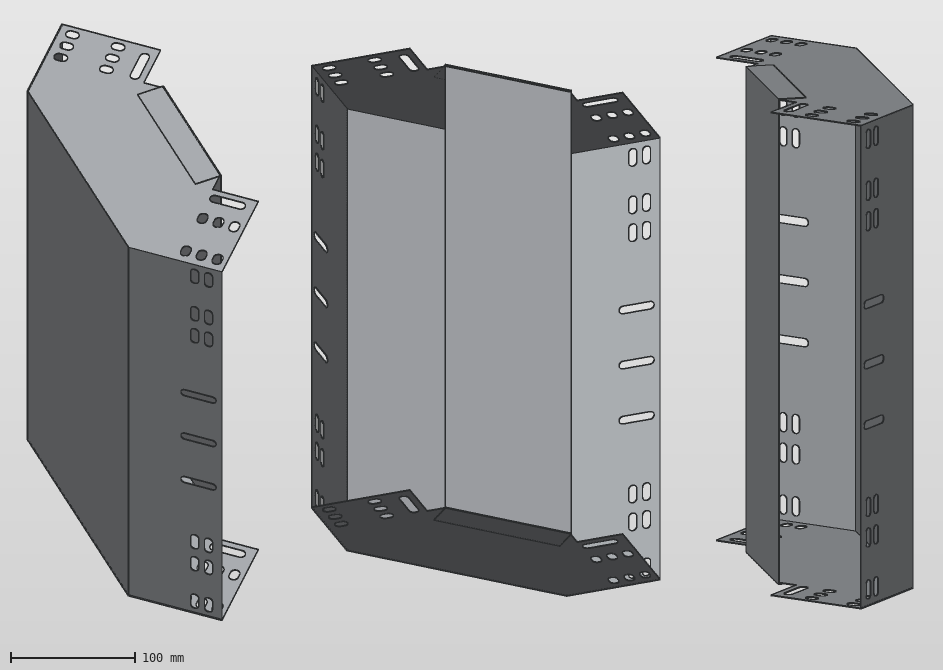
import cadquery as cq
import math

total_width = 308.01
total_depth = 116.98
height = 401.6
sheet = 0.8
wing_length = 80.5
bend_angle = 45.0
ear_end = 39.2
cover_width = 111.1
cover_flange = 23.0
cover_back_drop = 15.2

long_slot = 30.2
wing_slot_width = 6.9
tall_slot = 15.9
wing_slot_setbacks = (11.6, 23.5)
wing_slot_heights = (187.0, 143.9, 118.6)
wing_long_setback = 20.2
long_slot_pitch = 50.0

ear_slot_width = 7.8
short_slot = 11.2
ear_slot_rows = 3
ear_slot_first = 8.3
ear_slot_pitch = 13.6
ear_slot_offsets = (12.3, 51.5)
ear_long_setback = 22.9
ear_long_offset = 75.5

cosine = math.cos(math.radians(bend_angle))
sine = math.sin(math.radians(bend_angle))
half_width = total_width / 2
half_height = height / 2
front_half = half_width - wing_length * cosine
wing_end_y = wing_length * sine
ear_length = (total_depth - wing_end_y) / cosine
ear_tip_x = half_width - ear_length * sine
notch_x = ear_tip_x - ear_end * cosine
notch_y = total_depth - ear_end * sine
cover_back = total_depth - cover_back_drop
plate_back = cover_back - sheet
plate_back_half = notch_x - (plate_back - notch_y) / math.tan(math.radians(bend_angle))


def mirrored_outline(right_side, bottom):
    """Closed outline at the given level: the right-hand points and their mirror image."""
    left_side = [(-x, y) for x, y in reversed(right_side)]
    return cq.Workplane("XY", origin=(0, 0, bottom)).polyline(right_side + left_side).close()


def end_plate(bottom):
    """Flat plate closing one end of the housing, with an ear at each side."""
    right_side = [
        (front_half, 0),
        (half_width, wing_end_y),
        (ear_tip_x, total_depth),
        (notch_x, notch_y),
        (plate_back_half, plate_back),
    ]
    return mirrored_outline(right_side, bottom).extrude(sheet)


def wrapped_sheet():
    """Front panel with a wing bent back at each side."""
    inner_front_half = front_half - sheet * math.tan(math.radians(bend_angle / 2))
    right_side = [
        (front_half, 0),
        (half_width, wing_end_y),
        (half_width - sheet * sine, wing_end_y + sheet * cosine),
        (inner_front_half, sheet),
    ]
    return mirrored_outline(right_side, -half_height).extrude(height)


def side_plane(side, normal):
    """Plane at the free end of a wing, local X running along the wing to the front."""
    return cq.Plane(
        origin=(side * half_width, wing_end_y, 0),
        xDir=(-side * cosine, -sine, 0),
        normal=normal,
    )


def wing_slots(side):
    """Cutters for the slots of one wing, side -1 or +1 along X."""
    wing_plane = side_plane(side, (side * sine, -cosine, 0))
    tall_centres = [
        (setback, end * level)
        for setback in wing_slot_setbacks
        for level in wing_slot_heights
        for end in (-1, 1)
    ]
    long_centres = [(wing_long_setback, row * long_slot_pitch) for row in (-1, 0, 1)]
    tall = cq.Workplane(wing_plane).pushPoints(tall_centres).slot2D(tall_slot, wing_slot_width, 90)
    long = cq.Workplane(wing_plane).pushPoints(long_centres).slot2D(long_slot, wing_slot_width)
    reach = 2 * sheet
    return tall.extrude(reach, both=True).union(long.extrude(reach, both=True))


def ear_slots(side):
    """Cutters for the ears on one side, running through both end plates."""
    ear_plane = side_plane(side, (0, 0, side))
    short_centres = [
        (ear_slot_first + row * ear_slot_pitch, -offset)
        for row in range(ear_slot_rows)
        for offset in ear_slot_offsets
    ]
    short = cq.Workplane(ear_plane).pushPoints(short_centres).slot2D(short_slot, ear_slot_width, 90)
    long = cq.Workplane(ear_plane).center(ear_long_setback, -ear_long_offset)
    long = long.slot2D(long_slot, ear_slot_width)
    return short.extrude(height, both=True).union(long.extrude(height, both=True))


def make_housing():
    """Front panel, wings and end plates as one folded sheet, with all its slots."""
    body = wrapped_sheet()
    body = body.union(end_plate(half_height - sheet))
    body = body.union(end_plate(-half_height))
    for side in (-1, 1):
        body = body.cut(wing_slots(side))
        body = body.cut(ear_slots(side))
    return body


def make_cover():
    """Back cover whose two lips lap over the outside of the end plates."""
    block = cq.Workplane("XY").box(cover_width, cover_flange, height + 2 * sheet)
    block = block.translate((0, cover_back - cover_flange / 2, 0))
    inside = cq.Workplane("XY").box(cover_width, cover_flange, height)
    inside = inside.translate((0, plate_back - cover_flange / 2, 0))
    return block.cut(inside)


housing = make_housing()
cover = make_cover()
result = cq.Compound.makeCompound([housing.val(), cover.val()])